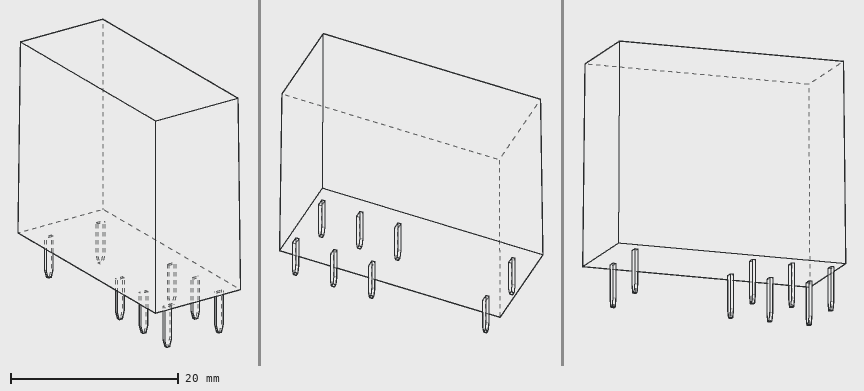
import cadquery as cq

total_height = 30.3
base_length = 29.0
base_width = 12.4
pin_length = 5.3
housing_height = total_height - pin_length
draft_inset = 0.2

pin_pitch = 5.0
first_pin_x = -11.5
pin_columns = (0, 3, 4, 5)
row_spacing = 7.5
pin_thickness = 0.4
pin_width = 1.0
tip_length = 1.0
tip_width = 0.45


def make_housing():
    """Housing with its flat underside on Z = 0."""
    return (
        cq.Workplane("XY")
        .rect(base_length, base_width)
        .workplane(offset=housing_height)
        .rect(base_length - 2 * draft_inset, base_width - 2 * draft_inset)
        .loft(ruled=True)
    )


def make_pin(x, y):
    """Blade hanging from the underside, tapered in width at its lower end."""
    shoulder_z = tip_length - pin_length
    outline = [
        (-pin_width / 2, 0),
        (-pin_width / 2, shoulder_z),
        (-tip_width / 2, -pin_length),
        (tip_width / 2, -pin_length),
        (pin_width / 2, shoulder_z),
        (pin_width / 2, 0),
    ]
    blade = cq.Workplane("YZ").polyline(outline).close().extrude(pin_thickness / 2, both=True)
    return blade.translate((x, y, 0))


housing = make_housing()

pins = []
for row_y in (-row_spacing / 2, row_spacing / 2):
    for column in pin_columns:
        pins.append(make_pin(first_pin_x + column * pin_pitch, row_y).val())

result = cq.Compound.makeCompound([housing.val(), *pins])